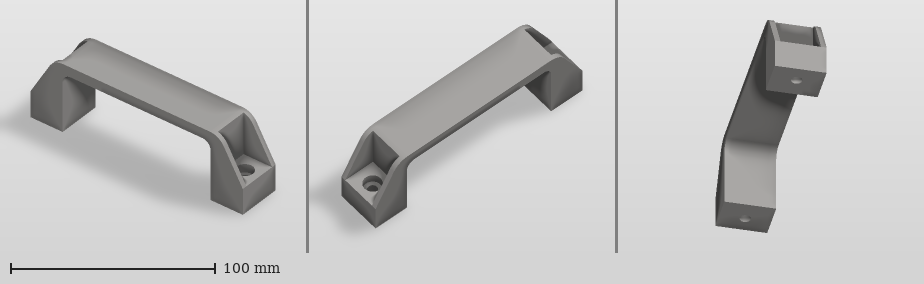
import cadquery as cq
import math

length = 132.0
width = 26.0
height = 41.0

leg_length = 20.0
grip_thickness = 6.0
foot_height = 15.6
slope_angle = 60.0
outer_radius = 10.0
inner_radius = 5.0

recess_length = 17.7
recess_width = 20.3

hole_spacing = 114.0
hole_diameter = 5.5
counterbore_diameter = 10.0
counterbore_depth = 5.0


def handle_body():
    """Bridge-shaped outline with sloped shoulders, extruded across the width."""
    half_length = length / 2
    inner_x = half_length - leg_length
    shoulder_x = half_length - (height - foot_height) / math.tan(math.radians(slope_angle))
    outline = [
        (-half_length, 0),
        (-half_length, foot_height),
        (-shoulder_x, height),
        (shoulder_x, height),
        (half_length, foot_height),
        (half_length, 0),
        (inner_x, 0),
        (inner_x, height - grip_thickness),
        (-inner_x, height - grip_thickness),
        (-inner_x, 0),
    ]
    body = cq.Workplane("XZ").polyline(outline).close().extrude(width / 2, both=True)
    shoulder_edges = body.faces(">Z").edges("|Y")
    body = body.newObject(shoulder_edges.vals()).fillet(outer_radius)
    underside_point = (0, 0, height - grip_thickness)
    underside_edges = body.faces(cq.selectors.NearestToPointSelector(underside_point)).edges("|Y")
    return body.newObject(underside_edges.vals()).fillet(inner_radius)


def end_recess(side):
    """Box removed above the foot at one end; side is -1 or 1."""
    recess_height = height - foot_height
    center_x = side * (length - recess_length) / 2
    return (
        cq.Workplane("XY", origin=(center_x, 0, foot_height))
        .rect(recess_length, recess_width)
        .extrude(recess_height)
    )


def mounting_hole(side):
    """Through hole with a counterbore sunk from the recess floor."""
    center = (side * hole_spacing / 2, 0, 0)
    bore = cq.Workplane("XY", origin=center).circle(hole_diameter / 2).extrude(foot_height)
    counterbore = (
        cq.Workplane("XY", origin=center)
        .workplane(offset=foot_height - counterbore_depth)
        .circle(counterbore_diameter / 2)
        .extrude(counterbore_depth)
    )
    return bore.union(counterbore)


result = handle_body()
for side in (-1, 1):
    result = result.cut(end_recess(side)).cut(mounting_hole(side))